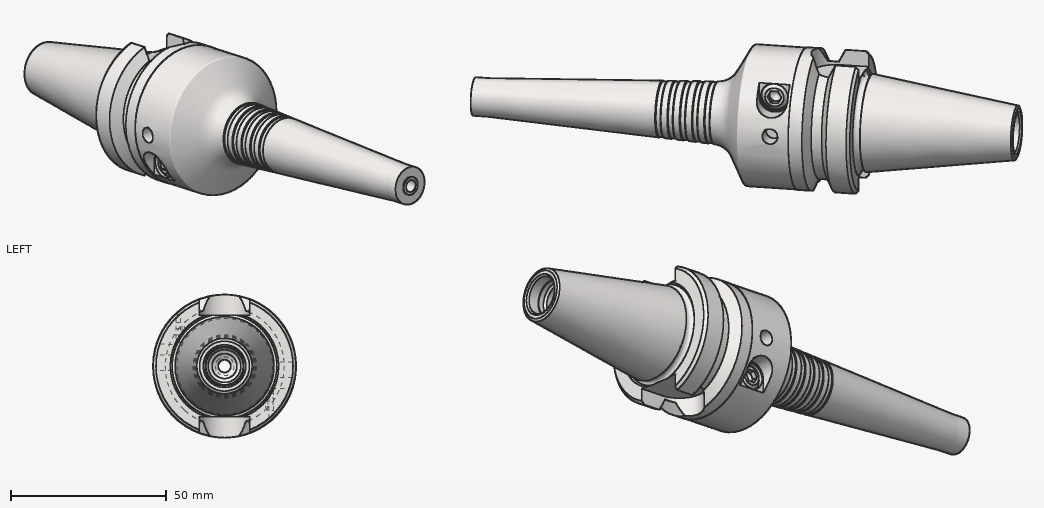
import cadquery as cq
import math


gauge_radius = 31.75 / 2
taper_length = 48.4
taper_rate = 7 / 48
taper_end_chamfer_length = 0.4
taper_end_chamfer_height = 0.8
neck_radius = 30.8 / 2

flange_radius = 46 / 2
flange_start = 2.0
flange_end = 22.0
flange_chamfer_length = 1.0
flange_chamfer_height = 1.0
face_relief_depth = 0.5
face_relief_radius = 17.4
neck_fillet = 1.4
groove_center = 13.55
groove_floor_radius = 38.2 / 2
groove_floor_width = 3.4
groove_side_angle = math.radians(30)

body_radius = 45.8 / 2
body_end = 38.75
body_edge_round = 0.6
nose_cone_angle = math.radians(60)
nose_fillet = 8.0
total_end = 130.0
boss_radius = 6.0 / 2
boss_length = 0.4
tip_radius = 12.5 / 2
tip_length = 4.8
shank_angle = math.radians(3)

ring_count = 5
ring_first = 50.3
ring_pitch = 4.06
ring_width = 2.0
ring_depth = 0.25
ring_side = 0.3

keyway_width = 16.1
keyway_floor = 16.3
keyway_end = 19.0

clamp_x = 28.0
clamp_z = -12.1
clamp_floor_y = 15.7
pocket_radius = 10 / 2
screw_recess_radius = 9 / 2
screw_face_radius = 6.2 / 2
screw_recess_depth = 1.5
socket_corner_diameter = 4.62
socket_depth = 2.0
socket_cone_depth = 1.0
pin_hole_z = -1.1
pin_hole_radius = 5 / 2
pin_hole_depth = 6.0

pilot_radius = 12.5 / 2
pilot_chamfer = 0.6
pilot_depth = 4.5
thread_relief_radius = 12 / 2
thread_relief_end = 6.5
thread_radius = 10.5 / 2
thread_depth = 34.0
coolant_radius = 8 / 2
coolant_depth = 60.0
drill_point_angle = math.radians(59)
through_radius = 4 / 2


def shank_radius(x):
    """Radius of the tapered shank at the given X."""
    return tip_radius + (total_end - boss_length - tip_length - x) * math.tan(shank_angle)


def nose_fillet_points():
    """Start, middle and end of the arc that joins the nose cone to the shank."""
    cone_slope = math.tan(nose_cone_angle)
    shank_slope = math.tan(shank_angle)
    corner_x = body_end + (body_radius - shank_radius(body_end)) / (cone_slope - shank_slope)
    corner_r = shank_radius(corner_x)
    half_turn = (nose_cone_angle - shank_angle) / 2
    tangent = nose_fillet * math.tan(half_turn)
    sagitta = nose_fillet / math.cos(half_turn) - nose_fillet
    bisector = math.pi / 2 - (nose_cone_angle + shank_angle) / 2
    start = (
        corner_x - tangent * math.cos(nose_cone_angle),
        corner_r + tangent * math.sin(nose_cone_angle),
    )
    middle = (corner_x + sagitta * math.cos(bisector), corner_r + sagitta * math.sin(bisector))
    end = (corner_x + tangent * math.cos(shank_angle), corner_r - tangent * math.sin(shank_angle))
    return start, middle, end


def revolve_about_x(profile):
    return profile.close().revolve(360, (0, 0, 0), (1, 0, 0))


def make_body():
    taper_start = -taper_length
    taper_end_radius = gauge_radius - taper_length * taper_rate
    chamfer_end = taper_start + taper_end_chamfer_length
    groove_half = groove_floor_width / 2
    groove_side = (flange_radius - groove_floor_radius) * math.tan(groove_side_angle)
    relief_floor = flange_start + face_relief_depth
    fillet_setback = neck_fillet * (1 - math.sqrt(0.5))
    fillet_start, fillet_middle, fillet_end = nose_fillet_points()
    tip_end = total_end - boss_length
    round_start = body_end - body_edge_round * math.tan(nose_cone_angle / 2)
    round_center_radius = body_radius - body_edge_round
    round_middle = (
        round_start + body_edge_round * math.sin(nose_cone_angle / 2),
        round_center_radius + body_edge_round * math.cos(nose_cone_angle / 2),
    )
    round_end = (
        round_start + body_edge_round * math.sin(nose_cone_angle),
        round_center_radius + body_edge_round * math.cos(nose_cone_angle),
    )

    profile = (
        cq.Workplane("XY")
        .moveTo(taper_start, 0)
        .lineTo(taper_start, taper_end_radius - taper_end_chamfer_height)
        .lineTo(chamfer_end, taper_end_radius + taper_end_chamfer_length * taper_rate)
        .lineTo(0, gauge_radius)
        .lineTo(0, neck_radius)
        .lineTo(relief_floor - neck_fillet, neck_radius)
        .threePointArc(
            (relief_floor - fillet_setback, neck_radius + fillet_setback),
            (relief_floor, neck_radius + neck_fillet),
        )
        .lineTo(flange_start, face_relief_radius)
        .lineTo(flange_start, flange_radius - flange_chamfer_height)
        .lineTo(flange_start + flange_chamfer_length, flange_radius)
        .lineTo(groove_center - groove_half - groove_side, flange_radius)
        .lineTo(groove_center - groove_half, groove_floor_radius)
        .lineTo(groove_center + groove_half, groove_floor_radius)
        .lineTo(groove_center + groove_half + groove_side, flange_radius)
        .lineTo(flange_end, flange_radius)
        .lineTo(flange_end, body_radius)
        .lineTo(round_start, body_radius)
        .threePointArc(round_middle, round_end)
        .lineTo(*fillet_start)
        .threePointArc(fillet_middle, fillet_end)
        .lineTo(tip_end - tip_length, tip_radius)
        .lineTo(tip_end, tip_radius)
        .lineTo(tip_end, boss_radius)
        .lineTo(total_end, boss_radius)
        .lineTo(total_end, 0)
    )
    return revolve_about_x(profile)


def make_ring_grooves():
    clearance = 1.0
    grooves = cq.Workplane("XY")
    for index in range(ring_count):
        start = ring_first + index * ring_pitch
        end = start + ring_width
        floor_start = start + ring_side
        floor_end = end - ring_side
        profile = (
            cq.Workplane("XY")
            .moveTo(start, shank_radius(start))
            .lineTo(floor_start, shank_radius(floor_start) - ring_depth)
            .lineTo(floor_end, shank_radius(floor_end) - ring_depth)
            .lineTo(end, shank_radius(end))
            .lineTo(end, shank_radius(end) + clearance)
            .lineTo(start, shank_radius(start) + clearance)
        )
        grooves = grooves.add(revolve_about_x(profile))
    return grooves.combine()


def make_keyway():
    """Slot in the flange, open toward the taper and rounded at its far end."""
    half_width = keyway_width / 2
    round_center = keyway_end - half_width
    return (
        cq.Workplane("XY", origin=(0, 0, keyway_floor))
        .moveTo(0, -half_width)
        .lineTo(round_center, -half_width)
        .threePointArc((keyway_end, 0), (round_center, half_width))
        .lineTo(0, half_width)
        .close()
        .extrude(flange_radius)
    )


def make_clamp_cut():
    """Pocket with a flat floor and the recess and hexagon socket of a clamp screw."""
    floor = cq.Workplane("XZ", origin=(clamp_x, -clamp_floor_y, clamp_z))
    pocket = (
        floor.moveTo(-pocket_radius, -flange_radius)
        .lineTo(-pocket_radius, 0)
        .threePointArc((0, pocket_radius), (pocket_radius, 0))
        .lineTo(pocket_radius, -flange_radius)
        .close()
        .extrude(flange_radius)
    )
    recess = floor.circle(screw_recess_radius).extrude(-screw_recess_depth)
    axis = cq.Vector(0, -1, 0)
    recess_bottom = cq.Vector(clamp_x, screw_recess_depth - clamp_floor_y, clamp_z)
    screw_head = cq.Solid.makeCone(
        screw_recess_radius, screw_face_radius, screw_recess_depth, recess_bottom, axis
    )
    socket = floor.polygon(6, socket_corner_diameter).extrude(-socket_depth)
    across_flats = socket_corner_diameter * math.cos(math.pi / 6)
    socket_bottom = cq.Vector(clamp_x, socket_depth - clamp_floor_y, clamp_z)
    socket_cone = cq.Solid.makeCone(across_flats / 2, 0, socket_cone_depth, socket_bottom, -axis)
    return pocket.union(recess.cut(cq.Workplane(screw_head))).union(socket).union(socket_cone)


def make_pin_hole():
    return (
        cq.Workplane("XZ", origin=(clamp_x, -flange_radius, pin_hole_z))
        .circle(pin_hole_radius)
        .extrude(-pin_hole_depth)
    )


def make_bore():
    start = -taper_length
    thread_point = (thread_radius - coolant_radius) / math.tan(drill_point_angle)
    coolant_point = (coolant_radius - through_radius) / math.tan(drill_point_angle)
    cone_length = thread_relief_radius - thread_radius
    profile = (
        cq.Workplane("XY")
        .moveTo(start, 0)
        .lineTo(start, pilot_radius + pilot_chamfer)
        .lineTo(start + pilot_chamfer, pilot_radius)
        .lineTo(start + pilot_depth, pilot_radius)
        .lineTo(start + pilot_depth, thread_relief_radius)
        .lineTo(start + thread_relief_end, thread_relief_radius)
        .lineTo(start + thread_relief_end + cone_length, thread_radius)
        .lineTo(start + thread_depth, thread_radius)
        .lineTo(start + thread_depth + thread_point, coolant_radius)
        .lineTo(start + coolant_depth, coolant_radius)
        .lineTo(start + coolant_depth + coolant_point, through_radius)
        .lineTo(total_end, through_radius)
        .lineTo(total_end, 0)
    )
    return revolve_about_x(profile)


result = make_body().cut(make_ring_grooves()).cut(make_bore())
for turn in (0, 180):
    for cutter in (make_keyway(), make_clamp_cut(), make_pin_hole()):
        result = result.cut(cutter.rotate((0, 0, 0), (1, 0, 0), turn))